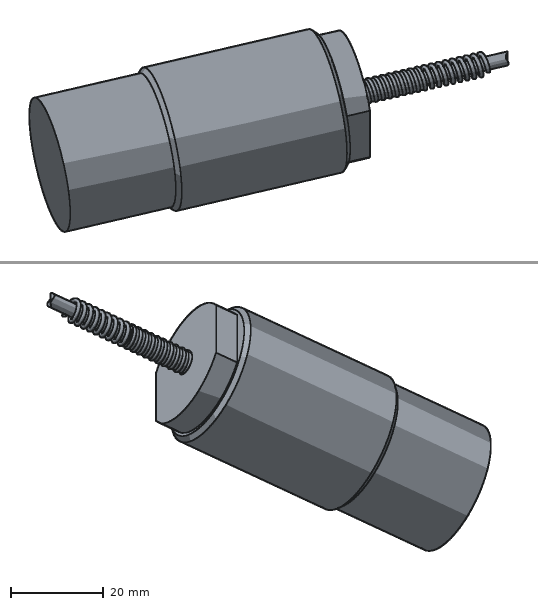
import cadquery as cq
import math

TOTAL_LENGTH = 104.4

NOSE_DIAMETER = 30.0
NOSE_LENGTH = 24.0
BARREL_DIAMETER = 32.0
BARREL_END = 63.7
BARREL_CHAMFER = (BARREL_DIAMETER - NOSE_DIAMETER) / 2
NUT_DIAMETER = 28.5
NUT_ACROSS_FLATS = 24.2
REAR_FACE = 69.1

CABLE_DIAMETER = 3.0
BREAK_AMPLITUDE = 0.4

SLEEVE_DIAMETER = 5.0
SLEEVE_BORE = 3.5
SLEEVE_END = 84.5
COIL_OUTER_DIAMETER = 5.5
WIRE_DIAMETER = 0.9
COIL_GAP = 0.66
COIL_PITCH = WIRE_DIAMETER + COIL_GAP
COIL_END = 99.1


def rod(diameter, start, end):
    """Round rod on the Y axis between two stations."""
    plane = cq.Workplane("XZ", origin=(0, start, 0))
    return plane.circle(diameter / 2).extrude(start - end)


def make_barrel():
    barrel = rod(BARREL_DIAMETER, NOSE_LENGTH, BARREL_END)
    return barrel.faces("<Y or >Y").chamfer(BARREL_CHAMFER)


def make_nut():
    """Round boss behind the barrel with two wrench flats facing -X and +X."""
    length = REAR_FACE - BARREL_END
    flats = cq.Workplane("XY").box(NUT_ACROSS_FLATS, length, NUT_DIAMETER)
    flats = flats.translate((0, BARREL_END + length / 2, 0))
    return rod(NUT_DIAMETER, BARREL_END, REAR_FACE).intersect(flats)


def make_cable():
    """Cable whose end follows an S-shaped break line in the XY plane."""
    radius = CABLE_DIAMETER / 2
    middle = TOTAL_LENGTH - BREAK_AMPLITUDE
    break_profile = (
        cq.Workplane("XY")
        .moveTo(-radius, REAR_FACE)
        .lineTo(-radius, middle)
        .threePointArc((-radius / 2, middle + BREAK_AMPLITUDE), (0, middle))
        .threePointArc((radius / 2, middle - BREAK_AMPLITUDE), (radius, middle))
        .lineTo(radius, REAR_FACE)
        .close()
        .extrude(radius, both=True)
    )
    return rod(CABLE_DIAMETER, REAR_FACE, TOTAL_LENGTH).intersect(break_profile)


def make_housing():
    """Housing with its nose, barrel, nut and the cable leaving the rear face."""
    nose = rod(NOSE_DIAMETER, 0, NOSE_LENGTH)
    return nose.union(make_barrel()).union(make_nut()).union(make_cable())


def make_coil_turn():
    """One turn of the right-handed coil, climbing +Y by one pitch up to the coil end."""
    mean_radius = (COIL_OUTER_DIAMETER - WIRE_DIAMETER) / 2
    path = cq.Workplane(cq.Wire.makeHelix(COIL_PITCH, COIL_PITCH, mean_radius))
    lead_angle = math.degrees(math.atan2(COIL_PITCH, 2 * math.pi * mean_radius))
    section = cq.Workplane("XZ", origin=(mean_radius, 0, 0))
    section = section.transformed(rotate=(lead_angle, 0, 0)).circle(WIRE_DIAMETER / 2)
    turn = section.sweep(path, isFrenet=True)
    turn = turn.rotate((0, 0, 0), (1, 0, 0), -90)
    return turn.translate((0, COIL_END - COIL_PITCH, 0))


def make_strain_relief():
    """Sleeve with the coil fused into its wall, cut flat where it rests on the housing."""
    relief = rod(SLEEVE_DIAMETER, REAR_FACE, SLEEVE_END)
    relief = relief.cut(rod(SLEEVE_BORE, REAR_FACE, SLEEVE_END))
    turn = make_coil_turn()
    turns_to_face = (COIL_END + WIRE_DIAMETER / 2 - REAR_FACE) / COIL_PITCH
    for index in range(math.ceil(turns_to_face)):
        relief = relief.union(turn.translate((0, -index * COIL_PITCH, 0)), clean=False)
    behind_housing = rod(NUT_DIAMETER, REAR_FACE, TOTAL_LENGTH)
    return relief.intersect(behind_housing)


housing = make_housing()
strain_relief = make_strain_relief()
result = cq.Compound.makeCompound([housing.solids().val(), strain_relief.solids().val()])